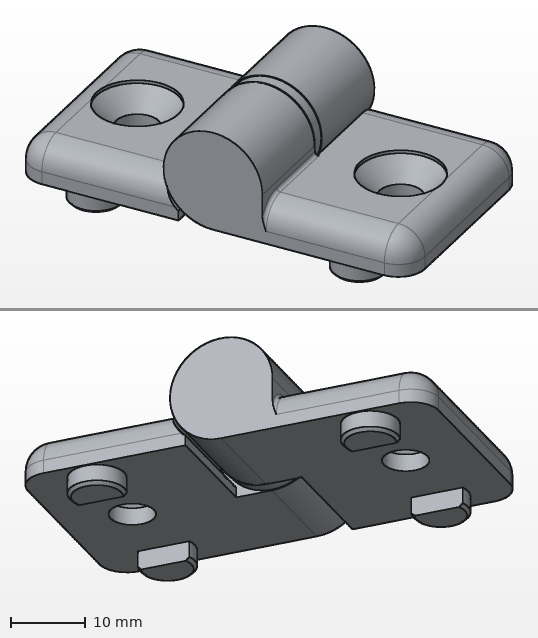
import cadquery as cq

length = 60.0
width = 32.0
plate_thickness = 6.0
edge_radius = 4.0

barrel_radius = 7.5
axis_height = barrel_radius
washer_thickness = 2.0
washer_radius = 7.4
root_fillet = 0.55
trim_allowance = 1.8

clearance = 0.5
toe_offset = 5.2

hole_offset = 20.0
hole_diameter = 6.35
countersink_diameter = 12.4
countersink_rim = 0.5

boss_diameter = 8.0
boss_height = 2.8
boss_chamfer = 0.5
boss_spacing = 23.5
boss_flat = 10.45


def plate():
    """Plate on the -X side, rounded along its three outer sides."""
    return (
        cq.Workplane("XY")
        .box(length / 2, width, plate_thickness, centered=(False, True, False))
        .translate((-length / 2, 0, 0))
        .edges("|Z and <X")
        .fillet(edge_radius)
        .faces(">Z")
        .edges("not >X")
        .fillet(edge_radius)
    )


def barrel(radius, y_start, y_end):
    """Cylinder on the hinge axis."""
    return (
        cq.Workplane("XZ", origin=(0, y_start, axis_height))
        .circle(radius)
        .extrude(y_start - y_end)
    )


def long_knuckle():
    """Half of the barrel with an upright wall on its plate side, running past the end of the hinge."""
    y_start = washer_thickness / 2
    y_end = width / 2 + trim_allowance
    wall = (
        cq.Workplane("XY")
        .box(barrel_radius, y_end - y_start, axis_height, centered=False)
        .translate((-barrel_radius, y_start, 0))
    )
    return barrel(barrel_radius, y_start, y_end).union(wall)


def relief():
    """Space cleared for the washer and the opposite knuckle."""
    y_end = washer_thickness / 2
    toe = (
        cq.Workplane("XY")
        .box(toe_offset, width / 2 + y_end, plate_thickness, centered=False)
        .translate((-toe_offset, -width / 2, 0))
    )
    return barrel(barrel_radius + clearance, -width / 2, y_end).union(toe)


def screw_hole():
    """Through hole with a 90 degree countersink and a short straight rim."""
    hole_radius = hole_diameter / 2
    sink_radius = countersink_diameter / 2
    rim_base = plate_thickness - countersink_rim
    cone_base = rim_base - (sink_radius - hole_radius)
    return (
        cq.Workplane("XZ")
        .polyline([
            (0, 0),
            (hole_radius, 0),
            (hole_radius, cone_base),
            (sink_radius, rim_base),
            (sink_radius, plate_thickness),
            (0, plate_thickness),
        ])
        .close()
        .revolve(360, (0, 0, 0), (0, 1, 0))
        .translate((-hole_offset, 0, 0))
    )


def bosses():
    """Two round bosses, each cut flat on the side facing the other."""
    gap = (
        cq.Workplane("XY")
        .box(length, 2 * boss_flat, boss_height, centered=(True, True, False))
        .translate((0, 0, -boss_height))
    )
    return (
        cq.Workplane("XY")
        .pushPoints([(-hole_offset, side * boss_spacing / 2) for side in (-1, 1)])
        .circle(boss_diameter / 2)
        .extrude(-boss_height)
        .faces("<Z")
        .chamfer(boss_chamfer)
        .cut(gap)
    )


def leaf():
    """Leaf on the -X side, with its knuckle on the +Y half of the barrel."""
    margin = root_fillet / 2
    root_edges = cq.selectors.BoxSelector(
        (-barrel_radius - margin, 0, plate_thickness - edge_radius + margin),
        (-barrel_radius + margin, width / 2, plate_thickness + margin),
    )
    hinge_space = cq.Workplane("XY").box(length, width, 2 * (axis_height + barrel_radius))
    return (
        plate()
        .union(long_knuckle())
        .edges(root_edges)
        .fillet(root_fillet)
        .intersect(hinge_space)
        .cut(relief())
        .cut(screw_hole())
        .union(bosses())
    )


def washer():
    """Spacer between the two knuckles."""
    return barrel(washer_radius, -washer_thickness / 2, washer_thickness / 2)


leaves = [leaf().rotate((0, 0, 0), (0, 0, 1), turn) for turn in (0, 180)]

result = cq.Compound.makeCompound([*(part.val() for part in leaves), washer().val()])